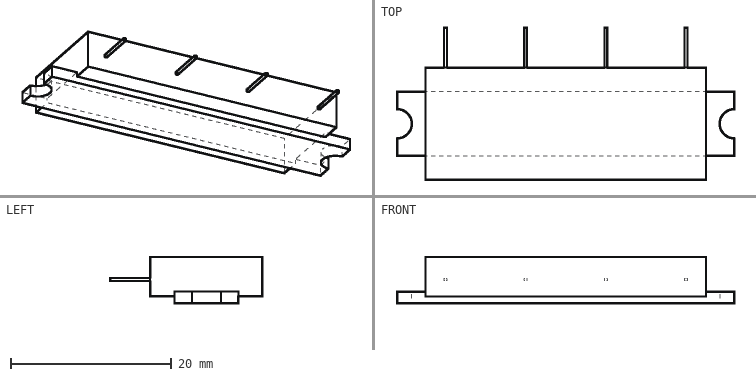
import cadquery as cq

flange_length = 42.0
flange_width = 8.0
flange_thickness = 1.45
notch_diameter = 3.6

body_length = 35.0
body_width = 14.0
body_bottom = 0.9
body_top = 5.8

pin_count = 4
pin_pitch = 10.0
pin_diameter = 0.4
pin_length = 5.0
pin_height = 3.0


def make_flange():
    bar = cq.Workplane("XY").box(
        flange_length, flange_width, flange_thickness, centered=(True, True, False)
    )
    notches = (
        cq.Workplane("XY")
        .pushPoints([(-flange_length / 2, 0), (flange_length / 2, 0)])
        .circle(notch_diameter / 2)
        .extrude(flange_thickness)
    )
    return bar.cut(notches)


def make_body():
    return (
        cq.Workplane("XY")
        .workplane(offset=body_bottom)
        .rect(body_length, body_width)
        .extrude(body_top - body_bottom)
    )


def make_pin(x):
    return (
        cq.Workplane("XZ", origin=(x, body_width / 2, pin_height))
        .circle(pin_diameter / 2)
        .extrude(-pin_length)
    )


result = make_flange().union(make_body())
first_pin_x = -pin_pitch * (pin_count - 1) / 2
for index in range(pin_count):
    result = result.union(make_pin(first_pin_x + index * pin_pitch))